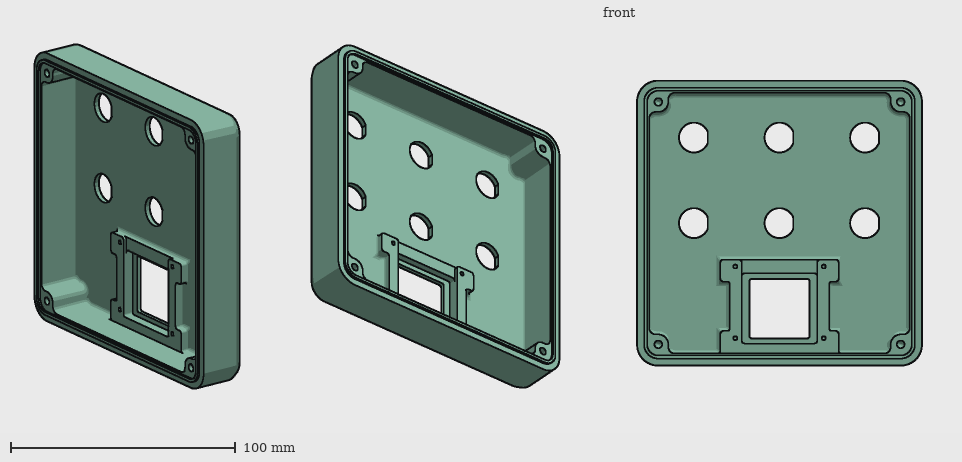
import cadquery as cq

SIDE = 127.0
TOTAL_HEIGHT = 23.0
LIP_HEIGHT = 1.0
RIM_HEIGHT = TOTAL_HEIGHT - LIP_HEIGHT
CORNER_RADIUS = 9.5
BACK_BEVEL_HEIGHT = 3.8
BACK_BEVEL_INSET = 2.3
BACK_BEVEL_BLEND = 1.7

LIP_INSET = 3.2
LIP_WIDTH = 1.4
LIP_INNER_INSET = LIP_INSET + LIP_WIDTH

FLOOR_THICKNESS = 2.5
WALL_THICKNESS = 5.5
CAVITY_SIDE = SIDE - 2 * WALL_THICKNESS
FLOOR_FILLET = 2.0

BOSS_RADIUS = 4.5
BOSS_WALL_FILLET = 2.9
BOSS_CENTRE = SIDE / 2 - CORNER_RADIUS
BOSS_INNER_FACE = BOSS_CENTRE - BOSS_RADIUS
SCREW_HOLE_DIAMETER = 3.4
SCREW_HOLE_DEPTH = 12.7

BUTTON_PITCH = 38.1
BUTTON_ROWS = (0.0, BUTTON_PITCH)
BUTTON_COLUMNS = (-BUTTON_PITCH, 0.0, BUTTON_PITCH)
BUTTON_DIAMETER = 13.2
BUTTON_FLAT_OFFSET = 6.1

PAD_WIDTH = 52.6
PAD_TOP = -16.3
PAD_HEIGHT = 4.5
PAD_FACE = FLOOR_THICKNESS + PAD_HEIGHT
PAD_CORNER_RADIUS = 1.3
NOTCH_DEPTH = 4.2
NOTCH_TOP = -26.0
NOTCH_BOTTOM = -48.0

POCKET_WIDTH = 33.7
POCKET_TOP = -22.4
POCKET_BOTTOM = -53.6
POCKET_DEPTH = 5.0
POCKET_CORNER_RADIUS = 1.3
WINDOW_WIDTH = 26.7
WINDOW_HEIGHT = 26.4
WINDOW_CENTRE_Z = -38.1
WINDOW_CORNER_RADIUS = 1.0
BAR_DEPTH = 1.5

PILOT_DIAMETER = 1.8
PILOT_DEPTH = 3.0
PILOT_X = 19.7
PILOT_ROWS = (-19.3, -51.2)

DRILL_POINT_RATIO = 0.6

MARGIN = 0.1


def plane_at(height):
    """Workplane facing -Y at a height above the back face; local axes are X and Z."""
    return cq.Workplane("XZ", origin=(0, -height, 0))


def block(x_min, x_max, z_min, z_max, low, high):
    return (
        plane_at(low)
        .center((x_min + x_max) / 2, (z_min + z_max) / 2)
        .rect(x_max - x_min, z_max - z_min)
        .extrude(high - low)
    )


def rounded_square(inset, low, high):
    """Square prism concentric with the box outline, set in from it."""
    side = SIDE - 2 * inset
    return plane_at(low).rect(side, side).extrude(high - low).edges("|Y").fillet(CORNER_RADIUS - inset)


def drilled_hole(x, z, diameter, mouth, depth):
    """Blind hole opening toward -Y, with a conical bottom below its full-diameter depth."""
    radius = diameter / 2
    bottom = mouth - depth
    tip = bottom - DRILL_POINT_RATIO * radius
    profile = [(x, -mouth), (x + radius, -mouth), (x + radius, -bottom), (x, -tip)]
    return (
        cq.Workplane("XY", origin=(0, 0, z))
        .polyline(profile)
        .close()
        .revolve(360, (x, 0, 0), (x, 1, 0))
    )


def outer_body():
    shell = rounded_square(0, 0, RIM_HEIGHT)
    shell = shell.faces(">Y").chamfer(BACK_BEVEL_HEIGHT, BACK_BEVEL_INSET)
    blend_zone = cq.selectors.BoxSelector((-SIDE, -BACK_BEVEL_HEIGHT - MARGIN, -SIDE), (SIDE, MARGIN, SIDE))
    return shell.edges(blend_zone).edges("#Y").fillet(BACK_BEVEL_BLEND)


def box_zone(x_min, x_max, z_min, z_max):
    """Selector for edges centred inside an X-Z range, at any height."""
    return cq.selectors.BoxSelector((x_min, -TOTAL_HEIGHT, z_min), (x_max, 0, z_max))


def corner_bosses(low, high):
    """Square posts in the four corners of the cavity."""
    centre = (BOSS_INNER_FACE + CAVITY_SIDE / 2) / 2
    width = CAVITY_SIDE / 2 - BOSS_INNER_FACE
    corners = plane_at(low).rect(2 * centre, 2 * centre, forConstruction=True).vertices()
    return corners.rect(width, width).extrude(high - low)


def pad():
    half = PAD_WIDTH / 2
    body = block(-half, half, -CAVITY_SIDE / 2, PAD_TOP, FLOOR_THICKNESS, PAD_FACE)
    for side in (-1, 1):
        notch_x = sorted((side * half, side * (half - NOTCH_DEPTH)))
        body = body.cut(block(*notch_x, NOTCH_BOTTOM, NOTCH_TOP, FLOOR_THICKNESS, PAD_FACE))
    return body


def cavity():
    """Space inside the box, shaped around the corner bosses and the display pad."""
    low, high = FLOOR_THICKNESS, RIM_HEIGHT
    half = CAVITY_SIDE / 2
    space = block(-half, half, -half, half, low, high).cut(corner_bosses(low, high))

    boss_zone = box_zone(-BOSS_CENTRE, BOSS_CENTRE, -BOSS_CENTRE, BOSS_CENTRE)
    upright_edges = space.edges("|Y")
    boss_edges = upright_edges.edges(boss_zone)
    wall_edges = upright_edges.edges(cq.selectors.InverseSelector(boss_zone))
    space = boss_edges.fillet(BOSS_RADIUS)
    space = space.newObject(wall_edges.vals()).fillet(BOSS_WALL_FILLET)

    space = space.cut(pad())
    space = space.faces(">Y").edges().fillet(FLOOR_FILLET)
    pad_zone = box_zone(-PAD_WIDTH / 2 - MARGIN, PAD_WIDTH / 2 + MARGIN, -half - MARGIN, PAD_TOP + MARGIN)
    return space.edges("|Y").edges(pad_zone).fillet(PAD_CORNER_RADIUS)


def display_pocket():
    """Pocket in the pad, the sunken bar above it and the window through the floor."""
    half = POCKET_WIDTH / 2
    pocket = block(-half, half, POCKET_BOTTOM, POCKET_TOP, PAD_FACE - POCKET_DEPTH, PAD_FACE)
    channel = block(-half, half, POCKET_BOTTOM, PAD_TOP, PAD_FACE - BAR_DEPTH, PAD_FACE)
    window = plane_at(0).center(0, WINDOW_CENTRE_Z).rect(WINDOW_WIDTH, WINDOW_HEIGHT).extrude(PAD_FACE)
    pocket = pocket.edges("|Y").fillet(POCKET_CORNER_RADIUS)
    channel = channel.edges("|Y and <Z").fillet(POCKET_CORNER_RADIUS)
    window = window.edges("|Y").fillet(WINDOW_CORNER_RADIUS)
    return pocket.union(channel).union(window)


def button_hole(x, z):
    hole = plane_at(0).center(x, z).circle(BUTTON_DIAMETER / 2).extrude(FLOOR_THICKNESS)
    radius = BUTTON_DIAMETER / 2
    keep = block(x - radius, x + BUTTON_FLAT_OFFSET, z - radius, z + radius, 0, FLOOR_THICKNESS)
    return hole.intersect(keep)


def lip():
    outside = rounded_square(LIP_INSET, RIM_HEIGHT, TOTAL_HEIGHT)
    return outside.cut(rounded_square(LIP_INNER_INSET, RIM_HEIGHT, TOTAL_HEIGHT))


def round_bar_mouth(body):
    """Round the two pad edges beside the open end of the sunken bar."""
    half = POCKET_WIDTH / 2 + MARGIN
    mouth = box_zone(-half, half, PAD_TOP - MARGIN, PAD_TOP + MARGIN)
    return body.edges("|Y").edges(mouth).fillet(PAD_CORNER_RADIUS)


result = outer_body().union(lip()).cut(cavity()).cut(display_pocket())
result = round_bar_mouth(result)

for x in BUTTON_COLUMNS:
    for z in BUTTON_ROWS:
        result = result.cut(button_hole(x, z))

for side in (-1, 1):
    for z in (-BOSS_CENTRE, BOSS_CENTRE):
        screw_hole = drilled_hole(side * BOSS_CENTRE, z, SCREW_HOLE_DIAMETER, RIM_HEIGHT, SCREW_HOLE_DEPTH)
        result = result.cut(screw_hole)
    for z in PILOT_ROWS:
        pilot_hole = drilled_hole(side * PILOT_X, z, PILOT_DIAMETER, PAD_FACE, PILOT_DEPTH)
        result = result.cut(pilot_hole)